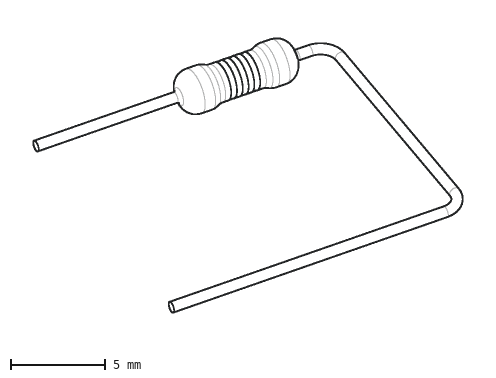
import cadquery as cq
import math

wire_radius = 0.6 / 2
lead_pitch = 15.0
lead_length = 17.9
bend_radius = 1.18
crossbar_y = lead_length - wire_radius

body_center_y = 12.0
cap_radius = 2.5 / 2
band_radius = 2.15 / 2
waist_radius = 2.13 / 2
dome_radius = 0.9

waist_half_length = 1.22
cap_inner = 1.92
cap_outer = 2.55
neck_end = 3.65

waist_section_count = 7


def make_wire():
    """Round wire with two rounded corners, lying in the XY plane."""
    corner_inset = bend_radius * (1 - math.sqrt(0.5))
    straight_end_y = crossbar_y - bend_radius
    path = (
        cq.Workplane("XY")
        .lineTo(0, straight_end_y)
        .threePointArc(
            (corner_inset, crossbar_y - corner_inset),
            (bend_radius, crossbar_y),
        )
        .lineTo(lead_pitch - bend_radius, crossbar_y)
        .threePointArc(
            (lead_pitch - corner_inset, crossbar_y - corner_inset),
            (lead_pitch, straight_end_y),
        )
        .lineTo(lead_pitch, 0)
    )
    return cq.Workplane("XZ").circle(wire_radius).sweep(path)


def make_body_half():
    """Solid of revolution from the middle of the body to the end of one neck."""
    dome_center_r = cap_radius - dome_radius
    dome_to_neck = neck_end - cap_outer
    wire_offset = wire_radius - dome_center_r
    neck_fillet = (dome_to_neck**2 + wire_offset**2 - dome_radius**2) / (2 * (dome_radius - wire_offset))
    neck_center_r = wire_radius + neck_fillet
    tangent_angle = math.atan2(neck_center_r - dome_center_r, dome_to_neck)

    def dome_point(angle):
        return (
            dome_center_r + dome_radius * math.sin(angle),
            cap_outer + dome_radius * math.cos(angle),
        )

    def neck_point(angle):
        return (
            neck_center_r - neck_fillet * math.sin(angle),
            neck_end - neck_fillet * math.cos(angle),
        )

    shoulder_middle = ((band_radius + cap_radius) / 2, (waist_half_length + cap_inner) / 2)
    profile = (
        cq.Workplane("XY")
        .moveTo(band_radius, 0)
        .lineTo(band_radius, waist_half_length)
        .tangentArcPoint(shoulder_middle, relative=False)
        .tangentArcPoint((cap_radius, cap_inner), relative=False)
        .lineTo(cap_radius, cap_outer)
        .threePointArc(dome_point((tangent_angle + math.pi / 2) / 2), dome_point(tangent_angle))
        .threePointArc(neck_point((tangent_angle + math.pi / 2) / 2), neck_point(math.pi / 2))
        .lineTo(0, neck_end)
        .lineTo(0, 0)
        .close()
    )
    return profile.revolve(360, (0, 0, 0), (0, 1, 0))


def make_waist_groove(start_y, length):
    """Thin ring that leaves the bare waist between two raised bands."""
    return (
        cq.Workplane("XZ", origin=(0, start_y, 0))
        .circle(cap_radius)
        .circle(waist_radius)
        .extrude(-length)
    )


def make_body():
    half = make_body_half()
    body = half.union(half.mirror("XZ"))
    section_length = 2 * waist_half_length / waist_section_count
    for section in range(1, waist_section_count, 2):
        start_y = section * section_length - waist_half_length
        body = body.cut(make_waist_groove(start_y, section_length))
    return body.translate((0, body_center_y, 0))


result = make_wire().union(make_body())